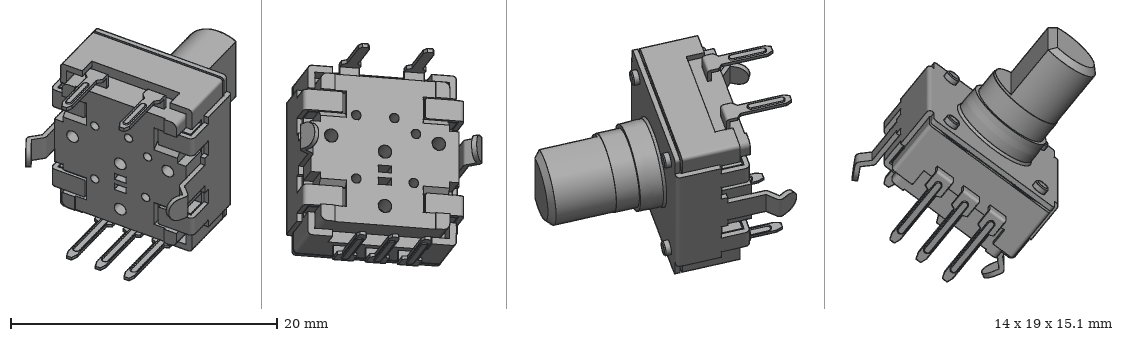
import cadquery as cq
import math


SHEET = 0.4
WALL_OUTER_X = 6.21
WALL_INNER_X = WALL_OUTER_X - SHEET
WALL_HALF_Z = 5.19
FRONT_BEND_RADIUS = 0.3
INNER_BEND_RADIUS = 0.1
TAB_BACK = 5.78
TAB_FRONT = TAB_BACK - SHEET
TAB_END_X = 3.2
TAB_CORNER = 0.13
ARM_TOP_Z = 4.56
ARM_BOTTOM_Z = 2.95
ARM_START = 3.48
SHOULDER_HALF_Z = 1.63
SHOULDER_DEPTH = 3.99
HOOK_HALF_Z = 0.99
HOOK_END_RADIUS = 0.97
HOOK_BEND_DEPTH = 6.97
HOOK_RISE = 0.95
HOOK_BLADE = 1.42
HOOK_OUT_ANGLE = 45.0
HOOK_BLADE_ANGLE = -29.0

BODY_HALF_X = 5.74
BODY_HALF_Z = 6.7
BODY_CORNER = 0.3

SHELL_FRONT = 0.57
SHELL_FLOOR = 3.69
SHELL_BACK = 5.1
SHELL_WALL = 0.53
CORNER_END_X = 3.84
CORNER_END_Z = 4.9

SHAFT_TIP = 9.0
SHAFT_RADIUS = 3.0
TIP_CHAMFER = 0.5
FLAT_X = 1.5
FLAT_START = 3.99
COLLAR_RADIUS = 3.05
COLLAR_FRONT = 3.8

BUSHING_FRONT = 2.01
BUSHING_FRONT_RADIUS = 3.36
BUSHING_RADIUS = 3.4
TAPER_START = 1.5
TAPER_END = 0.99
FLARE_START = 0.23
FLARE_RADIUS = 3.52
FLANGE_HALF_X = 5.53
FLANGE_HALF_Z = 6.4
FLANGE_CORNER = 1.94
FLANGE_RELIEF_HALF_X = 2.32
FLANGE_RELIEF_RUN = 0.3
FLANGE_RELIEF = 0.17
PEG_X = 4.22
PEG_Z = 5.13
PEG_RADIUS = 0.57
PEG_HEIGHT = 0.51
PEG_CHAMFER = 0.1

BASE_HALF_X = 5.0
BASE_HALF_Z = 5.83
BASE_CORNER = 0.51
BASE_BACK = 5.98
PAD_BACK = 6.12
PAD_INNER_X = 3.9
TONGUE_HALF_Z = 2.01
EAR_BACK = 5.26
POCKET_INNER_X = 2.96
POCKET_MOUTH_Z = 2.49
LARGE_HOLE_RADIUS = 0.51
LARGE_HOLES = [(-4.16, 0.95), (4.16, 0.95), (0, 0), (0, -4.3)]
SMALL_HOLE_RADIUS = 0.36
SMALL_HOLES = [(-2.22, 2.72), (0.72, 2.72), (2.4, 1.6), (-2.22, -2.3), (2.22, -2.3)]
SLOT_WIDTH = 1.03
SLOT_HEIGHT = 0.55
SLOT_CENTRES = [(0, -1.37), (0, -2.34)]

PITCH = 2.5
TERMINAL_SHOULDER = 1.52
TERMINAL_TIP = 0.44
EMBOSS = 0.08
EMBOSS_SLOPE = 45
BEND_ROUNDING = 0.9

SWITCH_THICK = 0.3
SWITCH_OUTER_Z = 7.07
SWITCH_LEG = 4.73
SWITCH_NECK_START = 5.6
SWITCH_NECK_END = 5.95
SWITCH_BLADE = 0.84
SWITCH_POINT = 9.55
SWITCH_END = 10.0
SWITCH_RIB_WIDTH = 0.53
SWITCH_RIB_START = 6.6
SWITCH_RIB_END = 9.55

ENCODER_THICK = 0.25
ENCODER_OUTER_Z = 7.83
ENCODER_LEG = 2.77
ENCODER_NECK_START = 4.25
ENCODER_NECK_END = 4.4
ENCODER_BLADE = 0.8
ENCODER_POINT = 8.78
ENCODER_END = 9.3
ENCODER_RIB_WIDTH = 0.6
ENCODER_RIB_START = 3.35
ENCODER_RIB_END = 8.47

SIDES = (-1, 1)
CORNERS = [(sx, sz) for sx in SIDES for sz in SIDES]


def block(x0, x1, depth0, depth1, z0, z1):
    """Box between two X, two depths and two Z values, each pair given in any order."""
    return (
        cq.Workplane("XY")
        .box(abs(x1 - x0), abs(depth1 - depth0), abs(z1 - z0))
        .translate(((x0 + x1) / 2, -(depth0 + depth1) / 2, (z0 + z1) / 2))
    )


def facing_back(depth):
    """Workplane at a depth, with X to the right and Z up; extruding goes deeper."""
    return cq.Workplane("XZ", origin=(0, -depth, 0))


def rounded_plate(half_x, half_z, corner, depth0, depth1):
    plate = facing_back(depth0).rect(2 * half_x, 2 * half_z).extrude(depth1 - depth0)
    return plate.edges("|Y").fillet(corner)


def polar(point, radius, degrees):
    angle = math.radians(degrees)
    return (point[0] + radius * math.cos(angle), point[1] + radius * math.sin(angle))


def pegs(start_depth):
    """Four chamfered pegs that rise in front of the mounting face."""
    length = start_depth + PEG_HEIGHT
    points = [(sx * PEG_X, sz * PEG_Z) for sx, sz in CORNERS]
    return (
        facing_back(start_depth).pushPoints(points).circle(PEG_RADIUS).extrude(-length)
        .faces(">Y").chamfer(PEG_CHAMFER)
    )


def make_shaft():
    stem = facing_back(-COLLAR_FRONT).circle(SHAFT_RADIUS).extrude(COLLAR_FRONT - SHAFT_TIP)
    flat_cut = block(FLAT_X, 2 * SHAFT_RADIUS, -FLAT_START, -SHAFT_TIP, -SHAFT_RADIUS, SHAFT_RADIUS)
    stem = stem.cut(flat_cut).faces(">Y").chamfer(TIP_CHAMFER)
    collar = facing_back(SHELL_FRONT).circle(COLLAR_RADIUS).extrude(-SHELL_FRONT - COLLAR_FRONT)
    return stem.union(collar)


def make_bushing():
    sleeve_profile = [
        (COLLAR_RADIUS, -SHELL_FRONT),
        (FLARE_RADIUS, -SHELL_FRONT),
        (FLARE_RADIUS, 0),
        (BUSHING_RADIUS, FLARE_START),
        (BUSHING_RADIUS, TAPER_END),
        (BUSHING_FRONT_RADIUS, TAPER_START),
        (BUSHING_FRONT_RADIUS, BUSHING_FRONT),
        (COLLAR_RADIUS, BUSHING_FRONT),
    ]
    sleeve = cq.Workplane("XY").polyline(sleeve_profile).close().revolve(360, (0, 0), (0, 1))

    flange = rounded_plate(FLANGE_HALF_X, FLANGE_HALF_Z, FLANGE_CORNER, SHEET, SHELL_FRONT)
    flange = flange.cut(facing_back(SHEET).circle(COLLAR_RADIUS).extrude(SHELL_FRONT - SHEET))
    for side in SIDES:
        edge_z = side * FLANGE_HALF_Z
        floor_z = side * (FLANGE_HALF_Z - FLANGE_RELIEF)
        floor_half_x = FLANGE_RELIEF_HALF_X - FLANGE_RELIEF_RUN
        relief = (
            facing_back(SHEET)
            .moveTo(-FLANGE_RELIEF_HALF_X, edge_z)
            .lineTo(FLANGE_RELIEF_HALF_X, edge_z)
            .lineTo(floor_half_x, floor_z)
            .lineTo(-floor_half_x, floor_z)
            .close()
            .extrude(SHELL_FRONT - SHEET)
        )
        flange = flange.cut(relief)
    return sleeve.union(flange).union(pegs(SHELL_FRONT))


def make_hook():
    """Snap hook on the +X side: out along a slope, round the knee and back along a blade."""
    bend = (WALL_OUTER_X, -HOOK_BEND_DEPTH)
    slope_start = polar(bend, SHEET, HOOK_OUT_ANGLE + 180)
    knee = polar(slope_start, HOOK_RISE, HOOK_OUT_ANGLE - 90)
    blade_end = polar(knee, HOOK_BLADE, HOOK_BLADE_ANGLE - 90)
    hook = (
        cq.Workplane("XY", origin=(0, 0, -HOOK_HALF_Z))
        .moveTo(WALL_INNER_X, -SHOULDER_DEPTH)
        .lineTo(WALL_INNER_X, -HOOK_BEND_DEPTH)
        .threePointArc(polar(bend, SHEET, HOOK_OUT_ANGLE / 2 + 180), slope_start)
        .lineTo(*knee)
        .lineTo(*blade_end)
        .lineTo(*polar(blade_end, SHEET, HOOK_BLADE_ANGLE))
        .lineTo(*polar(knee, SHEET, HOOK_BLADE_ANGLE))
        .threePointArc(
            polar(knee, SHEET, (HOOK_OUT_ANGLE + HOOK_BLADE_ANGLE) / 2),
            polar(knee, SHEET, HOOK_OUT_ANGLE),
        )
        .lineTo(*bend)
        .lineTo(WALL_OUTER_X, -SHOULDER_DEPTH)
        .close()
        .extrude(2 * HOOK_HALF_Z)
    )
    along_blade = cq.Vector(*polar((0, 0), 1, HOOK_BLADE_ANGLE - 90), 0)
    end_face = cq.selectors.DirectionMinMaxSelector(along_blade, True)
    return hook.faces(end_face).edges("not |Z").fillet(HOOK_END_RADIUS)


def make_bracket():
    folded = block(-WALL_OUTER_X, WALL_OUTER_X, 0, TAB_BACK, -WALL_HALF_Z, WALL_HALF_Z)
    folded = folded.edges("|Z and >Y").fillet(FRONT_BEND_RADIUS).edges("|Z and <Y").fillet(SHEET)
    inside = block(-WALL_INNER_X, WALL_INNER_X, SHEET, TAB_FRONT, -WALL_HALF_Z, WALL_HALF_Z)
    inside = inside.edges("|Z and >Y").fillet(INNER_BEND_RADIUS)
    opening = block(-TAB_END_X, TAB_END_X, TAB_FRONT, TAB_BACK, -WALL_HALF_Z, WALL_HALF_Z)
    bracket = folded.cut(inside).cut(opening)

    full = (-WALL_OUTER_X, WALL_OUTER_X)
    for side in SIDES:
        bracket = bracket.cut(block(*full, ARM_START, TAB_BACK, side * ARM_TOP_Z, side * WALL_HALF_Z))
        bracket = bracket.cut(
            block(*full, ARM_START, TAB_BACK, side * SHOULDER_HALF_Z, side * ARM_BOTTOM_Z)
        )
    bracket = bracket.cut(
        block(*full, SHOULDER_DEPTH, TAB_BACK, -SHOULDER_HALF_Z, SHOULDER_HALF_Z)
    )
    tab_reach = (-TAB_END_X - TAB_CORNER, -TAB_BACK, -WALL_HALF_Z)
    tab_limit = (TAB_END_X + TAB_CORNER, -TAB_FRONT, WALL_HALF_Z)
    tab_ends = cq.selectors.BoxSelector(tab_reach, tab_limit)
    bracket = bracket.edges("|Y").edges(tab_ends).fillet(TAB_CORNER)

    hook = make_hook()
    bracket = bracket.union(hook).union(hook.mirror("YZ"))
    bracket = bracket.union(rounded_plate(BODY_HALF_X, BODY_HALF_Z, BODY_CORNER, 0, SHEET))

    bracket = bracket.cut(facing_back(0).circle(FLARE_RADIUS).extrude(SHEET))
    return bracket.cut(pegs(SHEET))


def make_terminal(root_z, outer_z, thick, leg, neck_start, neck_end, blade, point, end):
    """Terminal on the YZ plane that leaves its body upward and turns back toward -Y."""
    outline = [
        (TERMINAL_SHOULDER / 2, -leg),
        (TERMINAL_SHOULDER / 2, -neck_start),
        (blade / 2, -neck_end),
        (blade / 2, -point),
        (TERMINAL_TIP / 2, -end),
    ]
    outline += [(-x, y) for x, y in reversed(outline)]
    strip = (
        cq.Workplane("XY", origin=(0, 0, outer_z - thick)).polyline(outline).close().extrude(thick)
    )
    half = TERMINAL_SHOULDER / 2
    strip = strip.union(block(-half, half, leg, leg + thick, root_z, outer_z))
    return strip.edges("|X and >Y and >Z").fillet(BEND_ROUNDING * thick)


def rib(width, start, end, bottom_z):
    """Long raised bead with round ends and sloping sides."""
    centre_y = -(start + end) / 2
    bead = cq.Workplane("XY", origin=(0, centre_y, bottom_z)).slot2D(end - start, width, 90)
    return bead.extrude(EMBOSS, taper=EMBOSS_SLOPE)


def make_switch_terminal():
    """Upper terminal, embossed on its outer face."""
    terminal = make_terminal(
        BASE_HALF_Z, SWITCH_OUTER_Z, SWITCH_THICK, SWITCH_LEG, SWITCH_NECK_START,
        SWITCH_NECK_END, SWITCH_BLADE, SWITCH_POINT, SWITCH_END,
    )
    bead = rib(SWITCH_RIB_WIDTH, SWITCH_RIB_START, SWITCH_RIB_END, SWITCH_OUTER_Z)
    return terminal.union(bead)


def make_encoder_terminal():
    """Lower terminal: a bead on its outer face and the matching groove on its inner face."""
    terminal = make_terminal(
        BODY_HALF_Z, ENCODER_OUTER_Z, ENCODER_THICK, ENCODER_LEG, ENCODER_NECK_START,
        ENCODER_NECK_END, ENCODER_BLADE, ENCODER_POINT, ENCODER_END,
    )
    bead = rib(ENCODER_RIB_WIDTH, ENCODER_RIB_START, ENCODER_RIB_END, ENCODER_OUTER_Z)
    groove = bead.translate((0, 0, -ENCODER_THICK))
    return terminal.union(bead).cut(groove).mirror("XY")


def make_shell():
    shell = rounded_plate(BODY_HALF_X, BODY_HALF_Z, BODY_CORNER, SHELL_FRONT, SHELL_BACK)
    inner_x = BODY_HALF_X - SHELL_WALL
    inner_z = BODY_HALF_Z - SHELL_WALL
    for half_x, half_z in (
        (inner_x, inner_z),
        (CORNER_END_X, BODY_HALF_Z),
        (BODY_HALF_X, CORNER_END_Z),
    ):
        shell = shell.cut(block(-half_x, half_x, SHELL_FLOOR, SHELL_BACK, -half_z, half_z))
    terminal = make_encoder_terminal()
    for x in (-PITCH, 0, PITCH):
        shell = shell.union(terminal.translate((x, 0, 0)))
    return shell


def make_base():
    base = rounded_plate(BASE_HALF_X, BASE_HALF_Z, BASE_CORNER, SHELL_FLOOR, PAD_BACK)
    between_pads = block(-PAD_INNER_X, PAD_INNER_X, BASE_BACK, PAD_BACK, -BASE_HALF_Z, BASE_HALF_Z)
    below_pads = block(-BASE_HALF_X, BASE_HALF_X, BASE_BACK, PAD_BACK, -ARM_TOP_Z, ARM_TOP_Z)
    base = base.cut(between_pads).cut(below_pads)

    base = base.union(
        block(-BODY_HALF_X, BODY_HALF_X, SHELL_FLOOR, BASE_BACK, -TONGUE_HALF_Z, TONGUE_HALF_Z)
    )
    for side in SIDES:
        base = base.union(
            block(-BODY_HALF_X, BODY_HALF_X, SHELL_FLOOR, EAR_BACK, side * ARM_BOTTOM_Z, side * ARM_TOP_Z)
        )

    slope_start = BASE_BACK - (ARM_BOTTOM_Z - POCKET_MOUTH_Z)
    for sx, sz in CORNERS:
        pocket = (
            cq.Workplane("YZ", origin=(sx * POCKET_INNER_X, 0, 0))
            .moveTo(-TAB_FRONT, sz * ARM_TOP_Z)
            .lineTo(-BASE_BACK, sz * ARM_TOP_Z)
            .lineTo(-BASE_BACK, sz * POCKET_MOUTH_Z)
            .lineTo(-slope_start, sz * ARM_BOTTOM_Z)
            .lineTo(-TAB_FRONT, sz * ARM_BOTTOM_Z)
            .close()
            .extrude(sx * (BASE_HALF_X - POCKET_INNER_X))
        )
        base = base.cut(pocket)

    thickness = BASE_BACK - SHELL_FLOOR
    floor = facing_back(SHELL_FLOOR)
    base = base.cut(floor.pushPoints(LARGE_HOLES).circle(LARGE_HOLE_RADIUS).extrude(thickness))
    base = base.cut(floor.pushPoints(SMALL_HOLES).circle(SMALL_HOLE_RADIUS).extrude(thickness))
    base = base.cut(floor.pushPoints(SLOT_CENTRES).rect(SLOT_WIDTH, SLOT_HEIGHT).extrude(thickness))

    terminal = make_switch_terminal()
    for x in (-PITCH, PITCH):
        base = base.union(terminal.translate((x, 0, 0)))
    return base


shaft = make_shaft()
bushing = make_bushing()
bracket = make_bracket()
shell = make_shell()
base = make_base()

bodies = [shaft, bushing, bracket, shell, base]
result = cq.Compound.makeCompound([body.solids().val() for body in bodies])